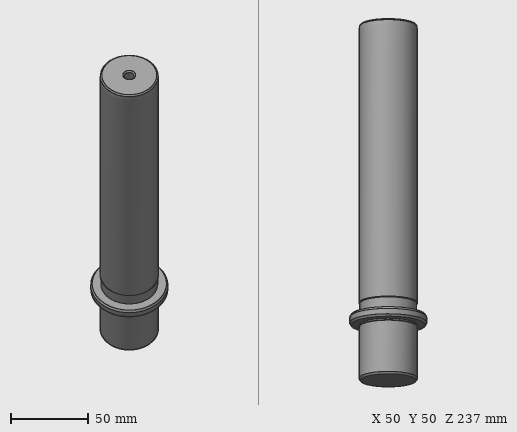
import cadquery as cq

length = 237.0
shaft_radius = 19.0
relief_radius = 18.5
shoulder_chamfer = shaft_radius - relief_radius

foot_chamfer_height = 1.5
foot_chamfer_width = 1.0
spigot_top = 36.0

flange_diameter = 50.0
flange_radius = flange_diameter / 2
flange_bottom = 37.0
flange_top = 43.4
flange_chamfer_height = 1.5
flange_chamfer_width = 1.0

neck_shoulder = 51.2

lead_in_height = 3.8
lead_in_radius = 18.7
rim_chamfer = 1.0

hole_diameter = 6.5
hole_depth = 14.2
hole_chamfer = 1.0


def turned_body():
    """Revolve the half outline, drawn as (radius, height), about the Z axis."""
    return (
        cq.Workplane("XZ")
        .moveTo(0, 0)
        .lineTo(shaft_radius - foot_chamfer_width, 0)
        .lineTo(shaft_radius, foot_chamfer_height)
        .lineTo(shaft_radius, spigot_top - shoulder_chamfer)
        .lineTo(relief_radius, spigot_top)
        .lineTo(relief_radius, flange_bottom)
        .lineTo(flange_radius - flange_chamfer_width, flange_bottom)
        .lineTo(flange_radius, flange_bottom + flange_chamfer_height)
        .lineTo(flange_radius, flange_top - flange_chamfer_height)
        .lineTo(flange_radius - flange_chamfer_width, flange_top)
        .lineTo(relief_radius, flange_top)
        .lineTo(relief_radius, neck_shoulder)
        .lineTo(shaft_radius, neck_shoulder + shoulder_chamfer)
        .lineTo(shaft_radius, length - lead_in_height)
        .lineTo(lead_in_radius, length - rim_chamfer)
        .lineTo(lead_in_radius - rim_chamfer, length)
        .lineTo(0, length)
        .close()
        .revolve(360, (0, 0, 0), (0, 1, 0))
    )


def centre_hole():
    """Cutter for the blind hole in the top face, widening at its mouth."""
    bore = (
        cq.Workplane("XY")
        .workplane(offset=length - hole_depth)
        .circle(hole_diameter / 2)
        .extrude(hole_depth)
    )
    mouth = (
        cq.Workplane("XY")
        .workplane(offset=length - hole_chamfer)
        .circle(hole_diameter / 2)
        .workplane(offset=hole_chamfer)
        .circle(hole_diameter / 2 + hole_chamfer)
        .loft()
    )
    return bore.union(mouth)


result = turned_body().cut(centre_hole())